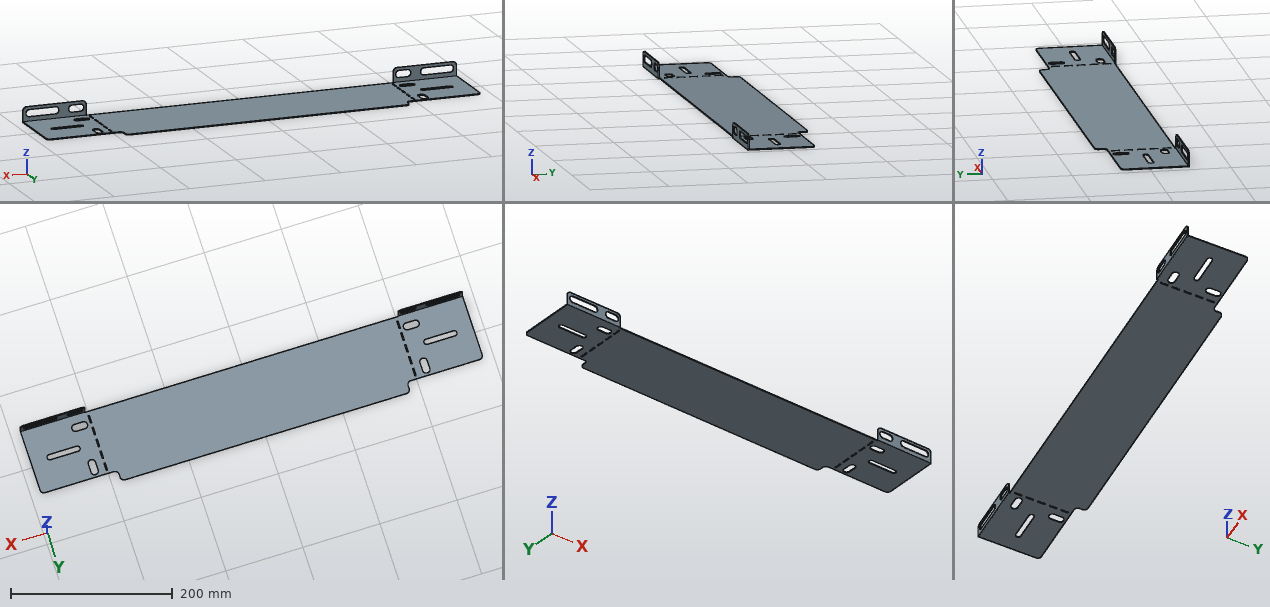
import cadquery as cq

length = 574.0
depth = 100.0
height = 20.0
thickness = 1.5

half_length = length / 2
tab_depth = 85.5
shoulder_inset = 99.5
flange_length = 84.0
front_relief = 2.0
corner_radius = 5.0
shoulder_radius = 5.0

fixing_slot_length = 20.0
fixing_slot_width = 9.0
fixing_slot_inset = 72.0
rear_slot_y = 72.5
front_slot_y = 17.0
plate_slot_length = 42.5
plate_slot_width = 7.0
plate_slot_inset = 42.5
plate_slot_y = 43.5
long_flange_slot_length = 43.5
long_flange_slot_inset = 26.0
short_flange_slot_inset = 70.5
flange_slot_z = 11.5

slit_count = 5
slit_length = 10.0
slit_width = 1.5
slit_pitch = 16.0
slit_inset = 86.5
slit_row_y = 44.0


def make_plate():
    """Flat sheet: a wide centre with a shallower tab at each end."""
    centre_length = length - 2 * shoulder_inset
    tabs = (
        cq.Workplane("XY")
        .rect(length, tab_depth)
        .extrude(thickness)
        .translate((0, tab_depth / 2, 0))
        .edges("|Z and >Y")
        .fillet(corner_radius)
    )
    centre = (
        cq.Workplane("XY")
        .rect(centre_length, depth)
        .extrude(thickness)
        .translate((0, depth / 2, 0))
        .edges("|Z and >Y")
        .fillet(shoulder_radius)
    )
    inner_corners = cq.selectors.BoxSelector(
        (-half_length + corner_radius, tab_depth - thickness, -thickness),
        (half_length - corner_radius, tab_depth + thickness, 2 * thickness),
    )
    plate = tabs.union(centre).edges("|Z").edges(inner_corners).fillet(shoulder_radius)
    relief_length = length - 2 * flange_length
    relief = cq.Workplane("XY").box(relief_length, 2 * front_relief, 2 * thickness)
    return plate.cut(relief)


def make_flange(side):
    """Upright flange along the front edge of one tab."""
    return (
        cq.Workplane("XY")
        .box(flange_length, thickness, height, centered=(True, False, False))
        .edges("|Y and >Z")
        .fillet(corner_radius)
        .translate((side * (half_length - flange_length / 2), 0, 0))
    )


def plate_cutter(x, y, slot_length, slot_width, angle=0):
    """Round-ended slot through the plate only."""
    return cq.Workplane("XY").center(x, y).slot2D(slot_length, slot_width, angle).extrude(thickness)


def flange_cutter(x, slot_length):
    """Round-ended slot through the flange."""
    return (
        cq.Workplane("XZ")
        .center(x, flange_slot_z)
        .slot2D(slot_length, fixing_slot_width)
        .extrude(-thickness)
    )


def cut_slots(body, side):
    """Cut the fixing and adjustment slots of one tab and its flange."""
    fixing_x = side * (half_length - fixing_slot_inset)
    plate_slot_x = side * (half_length - plate_slot_inset)
    long_slot_x = side * (half_length - long_flange_slot_inset)
    short_slot_x = side * (half_length - short_flange_slot_inset)
    cutters = [
        plate_cutter(fixing_x, rear_slot_y, fixing_slot_length, fixing_slot_width, 90),
        plate_cutter(fixing_x, front_slot_y, fixing_slot_length, fixing_slot_width),
        plate_cutter(plate_slot_x, plate_slot_y, plate_slot_length, plate_slot_width),
        flange_cutter(short_slot_x, fixing_slot_length),
        flange_cutter(long_slot_x, long_flange_slot_length),
    ]
    for cutter in cutters:
        body = body.cut(cutter)
    return body


def cut_slits(body, side):
    """Cut the row of slits between one tab and the centre."""
    slits = (
        cq.Workplane("XY")
        .center(side * (half_length - slit_inset), slit_row_y)
        .rarray(6, slit_pitch, 1, slit_count)
        .rect(slit_width, slit_length)
        .extrude(thickness)
    )
    return body.cut(slits)


result = make_plate()
for side in (-1, 1):
    result = result.union(make_flange(side))
    result = cut_slots(result, side)
    result = cut_slits(result, side)